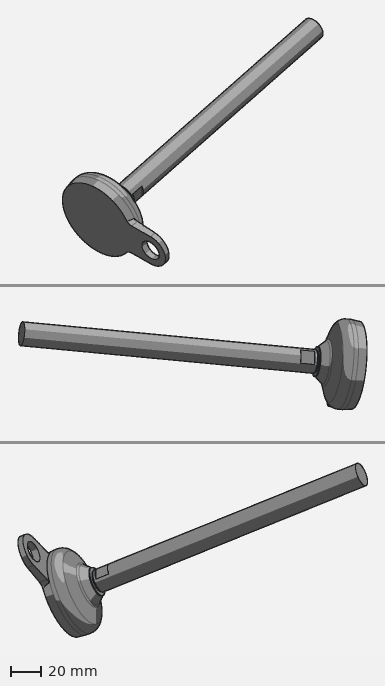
import cadquery as cq
import math

total_length = 228.0
total_width = 88.0

base_radius = 29.2
rim_radius = 60.0 / 2
rim_start = 6.2
rim_end = 9.1
shoulder_radius = 7.0
shoulder_slope = math.radians(24)
lower_cone_top = 20.0
upper_cone_base_radius = 14.4
upper_cone_base = 21.2
foot_top_radius = 10.0
foot_height = 27.0
lip_height = 0.7

lug_half_width = 25.3 / 2
lug_hole_radius = 7.3
lug_fillet = 5.5
lug_root_thickness = 6.2
lug_tip_thickness = 3.9
lug_hole_x = total_width - rim_radius - lug_half_width
lug_tip_x = lug_hole_x + lug_half_width

stem_radius = 8.0
neck_radius = 7.3
stem_chamfer_length = 0.7
stem_start = 28.0
socket_depth = 4.5
across_flats = 13.0
flats_start = 29.6
flats_length = 9.5


def make_foot_body():
    """Revolve the foot profile about the Y axis."""
    arc_center_radius = rim_radius - shoulder_radius

    def shoulder_point(angle):
        return (
            arc_center_radius + shoulder_radius * math.cos(angle),
            rim_end + shoulder_radius * math.sin(angle),
        )

    end_angle = math.pi / 2 - shoulder_slope
    cone_start_radius, cone_start = shoulder_point(end_angle)
    lower_cone_top_radius = cone_start_radius - (lower_cone_top - cone_start) / math.tan(shoulder_slope)
    profile = (
        cq.Workplane("XY")
        .moveTo(0, 0)
        .lineTo(base_radius, 0)
        .lineTo(rim_radius, rim_start)
        .lineTo(rim_radius, rim_end)
        .threePointArc(shoulder_point(end_angle / 2), (cone_start_radius, cone_start))
        .lineTo(lower_cone_top_radius, lower_cone_top)
        .tangentArcPoint((upper_cone_base_radius, upper_cone_base), relative=False)
        .lineTo(foot_top_radius, foot_height - lip_height)
        .lineTo(foot_top_radius, foot_height)
        .lineTo(0, foot_height)
        .close()
    )
    return profile.revolve(360, (0, 0, 0), (0, 1, 0))


def make_lug():
    """Lug with a tapering top, rounded tip and concave fillets against the rim."""
    fillet_center_z = lug_half_width + lug_fillet
    fillet_reach = base_radius + lug_fillet
    fillet_center_x = math.sqrt(fillet_reach**2 - fillet_center_z**2)
    rim_touch_x = fillet_center_x * base_radius / fillet_reach
    rim_touch_z = fillet_center_z * base_radius / fillet_reach
    bisector = (math.atan2(fillet_center_z, fillet_center_x) + math.pi / 2) / 2
    fillet_mid_x = fillet_center_x - lug_fillet * math.cos(bisector)
    fillet_mid_z = fillet_center_z - lug_fillet * math.sin(bisector)

    outline = (
        cq.Workplane("XZ")
        .moveTo(0, -rim_touch_z)
        .lineTo(rim_touch_x, -rim_touch_z)
        .threePointArc((fillet_mid_x, -fillet_mid_z), (fillet_center_x, -lug_half_width))
        .lineTo(lug_hole_x, -lug_half_width)
        .threePointArc((lug_tip_x, 0), (lug_hole_x, lug_half_width))
        .lineTo(fillet_center_x, lug_half_width)
        .threePointArc((fillet_mid_x, fillet_mid_z), (rim_touch_x, rim_touch_z))
        .lineTo(0, rim_touch_z)
        .close()
        .extrude(-lug_root_thickness)
    )
    taper = (
        cq.Workplane("XY")
        .polyline([
            (0, 0),
            (lug_tip_x, 0),
            (lug_tip_x, lug_tip_thickness),
            (rim_touch_x, lug_root_thickness),
            (0, lug_root_thickness),
        ])
        .close()
        .extrude(rim_touch_z, both=True)
    )
    hole = (
        cq.Workplane("XZ")
        .center(lug_hole_x, 0)
        .circle(lug_hole_radius)
        .extrude(-lug_root_thickness)
    )
    return outline.intersect(taper).cut(hole)


def make_foot():
    """Foot and lug in one piece, with a blind socket for the stem neck."""
    socket = (
        cq.Workplane("XZ", origin=(0, foot_height - socket_depth, 0))
        .circle(neck_radius)
        .extrude(-socket_depth)
    )
    return make_foot_body().union(make_lug()).cut(socket)


def make_stem():
    """Round stem with a chamfered shoulder, a neck and two flats facing -X and +X."""
    stem = (
        cq.Workplane("XY")
        .polyline([
            (0, foot_height - socket_depth),
            (neck_radius, foot_height - socket_depth),
            (neck_radius, stem_start - stem_chamfer_length),
            (stem_radius, stem_start),
            (stem_radius, total_length),
            (0, total_length),
        ])
        .close()
        .revolve(360, (0, 0, 0), (0, 1, 0))
    )
    flat_depth = stem_radius - across_flats / 2
    for side in (-1, 1):
        flat_cut = cq.Workplane("XY").box(flat_depth, flats_length, 2 * stem_radius).translate(
            (side * (stem_radius - flat_depth / 2), flats_start + flats_length / 2, 0)
        )
        stem = stem.cut(flat_cut)
    return stem


foot = make_foot()
stem = make_stem()
result = cq.Compound.makeCompound([foot.val(), stem.val()])